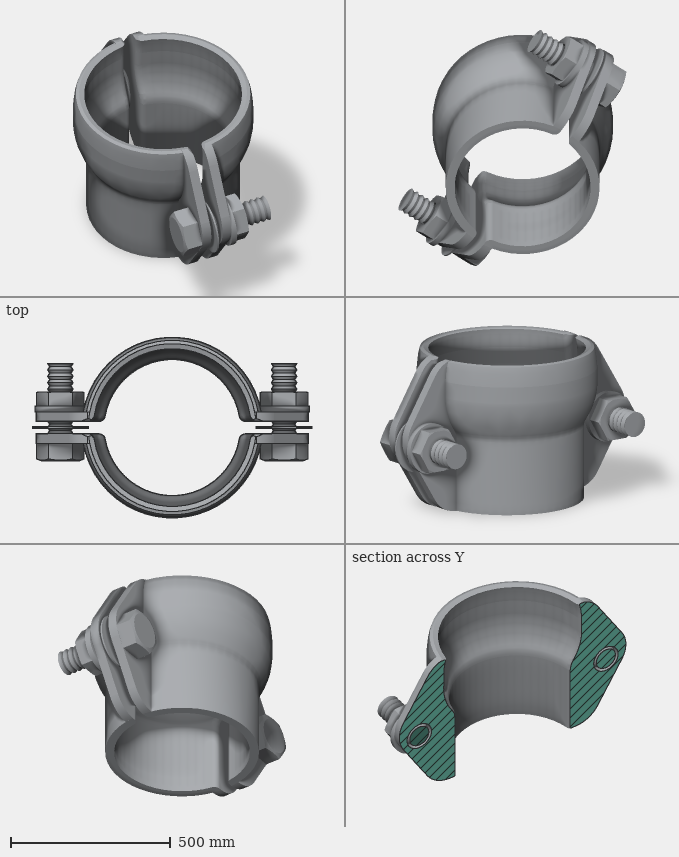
import cadquery as cq
import math

total_height = 487.0
half_gap = 19.0
flange_thickness = 30.0
shell_thickness = 28.0
pipe_radius = 241.0
sleeve_top = 234.5
neck_fillet = 39.0
bulge_radius = 283.0
bulge_arc = 197.0
belt_height = 52.5
rim_peak_radius = 262.5
rim_outer_radius = 273.0
rim_outer_drop = 3.5
rim_inner_radius = 247.0
rim_inner_drop = 6.0
bend_fillet = 20.0
bend_top_chamfer = 9.0

flange_mid_height = 246.0
flange_tip_reach = 444.0
flange_shoulder_reach = 290.5
flange_corner_radius = 100.0
flange_hole_diameter = 90.0

bolt_x = 350.0
bolt_height = 220.5
thread_diameter = 80.0
thread_root_diameter = 66.5
thread_turns = 11
thread_end = 200.0
hex_flats = 129.5
head_height = 56.0
head_face_diameter = 114.0
head_chamfer_drop = 7.0

nut_height = 45.0
nut_face_diameter = 135.0
nut_chamfer_drop = 3.0
washer_diameter = 160.0
washer_hole_diameter = 84.0
washer_thickness = 18.0
disc_diameter = 175.0
disc_thickness = 5.0

flange_back = half_gap + flange_thickness
nut_seat = flange_back + washer_thickness
hex_corners = hex_flats / math.cos(math.pi / 6)


def polar_point(center, radius, angle):
    """Point on a circle in the (radius, height) plane, angle in radians."""
    return (center[0] + radius * math.cos(angle), center[1] + radius * math.sin(angle))


def shell_core(offset, rim_radius, rim_drop):
    """Solid of revolution whose side is the outside surface moved inward by offset."""
    bulge_center_x = bulge_radius - bulge_arc
    neck_center = (pipe_radius + neck_fillet, sleeve_top)
    center_distance = bulge_arc + neck_fillet
    lean = math.acos((neck_center[0] - bulge_center_x) / center_distance)
    belt_bottom = sleeve_top + center_distance * math.sin(lean)
    bulge_center = (bulge_center_x, belt_bottom)
    arc = bulge_arc - offset
    neck = neck_fillet + offset
    profile = (
        cq.Workplane("XZ")
        .lineTo(pipe_radius - offset, 0)
        .lineTo(pipe_radius - offset, sleeve_top)
        .threePointArc(
            polar_point(neck_center, neck, math.pi - lean / 2),
            polar_point(neck_center, neck, math.pi - lean),
        )
        .threePointArc(
            polar_point(bulge_center, arc, -lean / 2),
            polar_point(bulge_center, arc, 0),
        )
        .lineTo(bulge_radius - offset, belt_bottom + belt_height)
        .tangentArcPoint((rim_radius, total_height - rim_drop), relative=False)
        .lineTo(rim_peak_radius, total_height)
        .lineTo(0, total_height)
        .close()
    )
    return profile.revolve(360, (0, 0), (0, 1))


def flange_plate():
    """Rounded hexagonal plate on the +Y side of the gap."""
    corners = [
        (flange_tip_reach, flange_mid_height),
        (flange_shoulder_reach, 2 * flange_mid_height),
        (-flange_shoulder_reach, 2 * flange_mid_height),
        (-flange_tip_reach, flange_mid_height),
        (-flange_shoulder_reach, 0),
        (flange_shoulder_reach, 0),
    ]
    plate = cq.Workplane("XZ", origin=(0, flange_back, 0)).polyline(corners).close().extrude(flange_thickness)
    return plate.edges("|Y").fillet(flange_corner_radius)


def half_space():
    """Block on the +Y side of the gap, up to the rim plane, bevelled at its upper gap edge."""
    width = 2 * flange_tip_reach
    block = cq.Workplane("XY", origin=(0, half_gap, 0)).box(
        width, width, total_height, centered=(True, False, False)
    )
    return block.edges("<Y and >Z").chamfer(bend_top_chamfer)


def cylinder_along_y(x, diameter, y_start, length):
    """Cylinder on a bolt axis, growing toward +Y."""
    return (
        cq.Workplane("XZ", origin=(x, y_start, bolt_height))
        .circle(diameter / 2)
        .extrude(-length)
    )


def make_clamp_half():
    """Half shell with a flange on each side, on the +Y side of the gap."""
    outside = shell_core(0, rim_outer_radius, rim_outer_drop)
    inside = shell_core(shell_thickness, rim_inner_radius, rim_inner_drop)
    half = outside.union(flange_plate()).intersect(half_space()).cut(inside)
    bend_region = cq.selectors.BoxSelector(
        (-rim_peak_radius, 0, flange_thickness),
        (rim_peak_radius, flange_back, total_height - bend_top_chamfer),
    )
    half = half.faces("<Y").edges(bend_region).fillet(bend_fillet)
    for x in (-bolt_x, bolt_x):
        half = half.cut(cylinder_along_y(x, flange_hole_diameter, half_gap, flange_thickness))
    return half


def hexagon(x, y_face, height, face_diameter, chamfer_drop, direction):
    """Hexagonal prism seated at y_face, with a conical chamfer on its far face.

    direction is +1 to grow toward +Y and -1 to grow toward -Y.
    """
    origin = (x, y_face, bolt_height)
    prism = cq.Workplane("XZ", origin=origin).polygon(6, hex_corners).extrude(-direction * height)
    envelope = (
        cq.Workplane("XY", origin=origin)
        .lineTo(hex_corners / 2, 0)
        .lineTo(hex_corners / 2, direction * (height - chamfer_drop))
        .lineTo(face_diameter / 2, direction * height)
        .lineTo(0, direction * height)
        .close()
        .revolve(360, (0, 0), (0, 1))
    )
    return prism.intersect(envelope)


def make_bolt(x):
    """Hexagon bolt with a plain shank in the front flange and a ringed thread behind it."""
    pitch = (thread_end + half_gap) / thread_turns
    profile = (
        cq.Workplane("XY", origin=(x, 0, bolt_height))
        .moveTo(0, -flange_back)
        .lineTo(thread_diameter / 2, -flange_back)
        .lineTo(thread_diameter / 2, -half_gap)
    )
    for turn in range(thread_turns):
        crest_y = -half_gap + turn * pitch
        profile = profile.lineTo(thread_root_diameter / 2, crest_y + pitch / 2)
        profile = profile.lineTo(thread_diameter / 2, crest_y + pitch)
    shank = profile.lineTo(0, thread_end).close().revolve(360, (0, 0), (0, 1))
    head = hexagon(x, -flange_back, head_height, head_face_diameter, head_chamfer_drop, -1)
    return head.union(shank)


def make_nut(x):
    """Hexagon nut on the washer, its bore running on the thread crests."""
    body = hexagon(x, nut_seat, nut_height, nut_face_diameter, nut_chamfer_drop, 1)
    return body.cut(cylinder_along_y(x, thread_diameter, nut_seat, nut_height))


def make_ring(x, y_start, thickness, diameter, hole_diameter):
    """Flat ring on a bolt axis."""
    blank = cylinder_along_y(x, diameter, y_start, thickness)
    return blank.cut(cylinder_along_y(x, hole_diameter, y_start, thickness))


def make_washer(x):
    return make_ring(x, flange_back, washer_thickness, washer_diameter, washer_hole_diameter)


def make_spacer_disc(x):
    """Thin disc at mid gap, its bore running on the thread crests."""
    return make_ring(x, -disc_thickness / 2, disc_thickness, disc_diameter, thread_diameter)


rear_half = make_clamp_half()
front_half = rear_half.mirror("XZ")

bodies = [rear_half.val(), front_half.val()]
for bolt_side in (-bolt_x, bolt_x):
    for make_part in (make_bolt, make_nut, make_washer, make_spacer_disc):
        bodies.append(make_part(bolt_side).val())

result = cq.Compound.makeCompound(bodies)